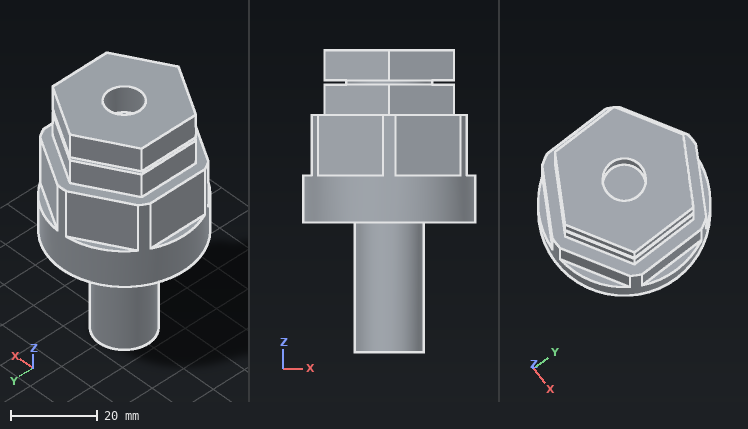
import cadquery as cq
import math

stem_diameter = 16.0
stem_length = 30.0
collar_diameter = 40.0
collar_height = 11.0
large_hex_flats = 36.0
large_hex_height = 14.0
small_hex_flats = 30.0
small_hex_height = 7.0
neck_diameter = 20.0
neck_height = 1.0
bore_diameter = 10.0

collar_base = stem_length
large_hex_base = collar_base + collar_height
small_hex_base = large_hex_base + large_hex_height
neck_base = small_hex_base + small_hex_height
head_base = neck_base + neck_height


def cylinder(diameter, base, height):
    return cq.Workplane("XY").workplane(offset=base).circle(diameter / 2).extrude(height)


def hexagon(flats, base, height):
    """Hexagonal prism with two of its flats facing -X and +X."""
    corner_diameter = flats / math.cos(math.pi / 6)
    prism = cq.Workplane("XY").workplane(offset=base).polygon(6, corner_diameter).extrude(height)
    return prism.rotate((0, 0, 0), (0, 0, 1), 30)


def make_housing():
    """Stem, round collar and two hexagons; the collar diameter rounds the large hexagon's corners."""
    stem = cylinder(stem_diameter, 0, stem_length)
    collar = cylinder(collar_diameter, collar_base, collar_height)
    corner_limit = cylinder(collar_diameter, large_hex_base, large_hex_height)
    large_hex = hexagon(large_hex_flats, large_hex_base, large_hex_height).intersect(corner_limit)
    small_hex = hexagon(small_hex_flats, small_hex_base, small_hex_height)
    return stem.union(collar).union(large_hex).union(small_hex)


def make_gland():
    """Hexagonal head on a short neck, bored through; the neck rests on the housing."""
    neck = cylinder(neck_diameter, neck_base, neck_height)
    head = hexagon(small_hex_flats, head_base, small_hex_height)
    bore = cylinder(bore_diameter, neck_base, neck_height + small_hex_height)
    return neck.union(head).cut(bore)


housing = make_housing()
gland = make_gland()

result = cq.Compound.makeCompound([housing.val(), gland.val()])